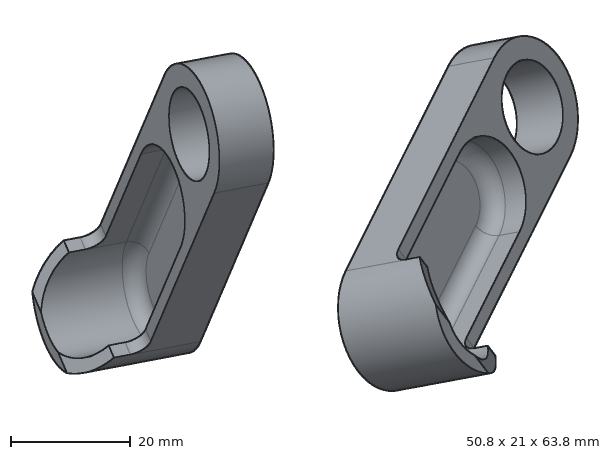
import cadquery as cq
import math

overall_height = 63.75
tilt_from_horizontal = 56.0
end_radius = 12.0
arm_thickness = 10.0
overall_depth = 21.0
hole_diameter = 16.0
pocket_radius = 9.5
pocket_center_spacing = 28.0
pocket_depth = 7.5
blend_radius = 3.0
lip_side_depth = 16.0
lip_slope = 60.0

end_spacing = (overall_height - 2 * end_radius) / math.sin(math.radians(tilt_from_horizontal))
slope_length = (overall_depth - lip_side_depth) * math.tan(math.radians(lip_slope))


def upright_capsule(radius, center_spacing, depth, front_y):
    """Round-ended bar standing on the origin, running back from front_y along +Y."""
    return (
        cq.Workplane("XZ", origin=(0, front_y, center_spacing / 2))
        .slot2D(center_spacing + 2 * radius, 2 * radius, 90)
        .extrude(-depth)
    )


def make_side_profile():
    """Side outline of arm and lip: back at Y = 0, lower end center at Z = 0."""
    bottom = -end_radius
    top = end_spacing + end_radius
    arc_offset = blend_radius * (1 - math.sqrt(0.5))
    return (
        cq.Workplane("YZ")
        .moveTo(0, bottom)
        .lineTo(-overall_depth, bottom)
        .lineTo(-overall_depth, -slope_length)
        .lineTo(-lip_side_depth, 0)
        .lineTo(-arm_thickness - blend_radius, 0)
        .threePointArc(
            (-arm_thickness - arc_offset, arc_offset),
            (-arm_thickness, blend_radius),
        )
        .lineTo(-arm_thickness, top)
        .lineTo(0, top)
        .close()
        .extrude(end_radius, both=True)
    )


def make_pocket():
    """Round-ended pocket with a rounded floor edge, open through the front of the lip."""
    floor_y = pocket_depth - arm_thickness
    cutter_depth = overall_depth + floor_y
    pocket = upright_capsule(pocket_radius, pocket_center_spacing, cutter_depth, -overall_depth)
    return pocket.faces(">Y").edges().fillet(blend_radius)


def make_hole():
    """Through hole concentric with the upper rounded end."""
    return (
        cq.Workplane("XZ", origin=(0, 0, end_spacing))
        .circle(hole_diameter / 2)
        .extrude(arm_thickness)
    )


body = upright_capsule(end_radius, end_spacing, overall_depth, -overall_depth)
body = body.intersect(make_side_profile())
body = body.cut(make_pocket()).cut(make_hole())
result = body.rotate((0, 0, 0), (0, 1, 0), 90 - tilt_from_horizontal)